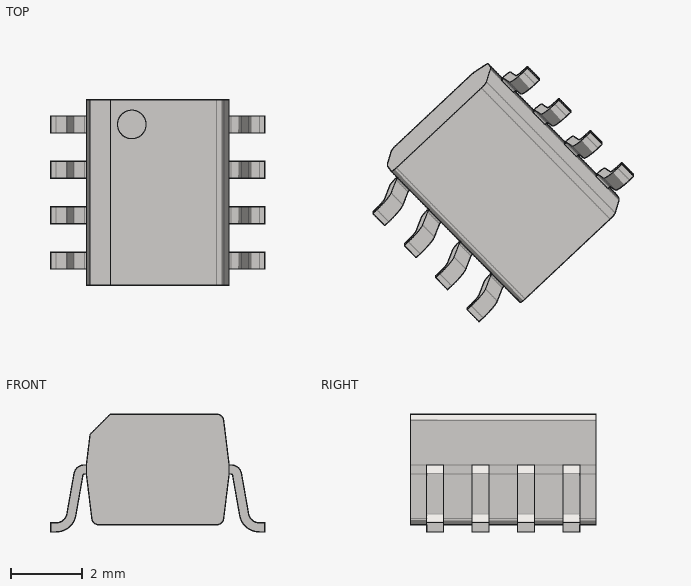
import cadquery as cq
import math

standoff = 0.2
body_width = 4.0
body_length = 5.2
body_height = 3.1
draft_angle = math.radians(7)
edge_radius = 0.2
chamfer_inset = 0.5

marker_diameter = 0.8
marker_depth = 0.2
marker_margin = 0.2

leads_per_side = 4
lead_pitch = 1.27
lead_width = 0.48
lead_thickness = 0.26
lead_span = 6.0
foot_length = 0.16
bend_radius = 0.3
leg_tilt = math.radians(10)

body_top = standoff + body_height
body_middle = standoff + body_height / 2
belt_bottom = body_middle - lead_thickness / 2
belt_top = body_middle + lead_thickness / 2
belt_x = body_width / 2
face_x = belt_x - (body_top - belt_top) * math.tan(draft_angle)

chamfer_x = -face_x + chamfer_inset
chamfer_drop = chamfer_inset / (1 - math.tan(draft_angle))
row_end_y = lead_pitch * (leads_per_side - 1) / 2


def make_body():
    """Package body: drafted above and below a vertical belt, with one top edge chamfered."""
    body = (
        cq.Workplane("XZ")
        .moveTo(-face_x, standoff)
        .lineTo(face_x, standoff)
        .lineTo(belt_x, belt_bottom)
        .lineTo(belt_x, belt_top)
        .lineTo(face_x, body_top)
        .lineTo(chamfer_x, body_top)
        .lineTo(chamfer_x - chamfer_drop, body_top - chamfer_drop)
        .lineTo(-belt_x, belt_top)
        .lineTo(-belt_x, belt_bottom)
        .close()
        .extrude(body_length / 2, both=True)
    )
    bottom_edges = body.faces("<Z").edges("|Y")
    top_right_edge = body.faces(">Z").edges("|Y").edges(">X")
    body = bottom_edges.add(top_right_edge).fillet(edge_radius)

    marker_x = chamfer_x + marker_margin + marker_diameter / 2
    marker = (
        cq.Workplane("XY", origin=(marker_x, row_end_y, body_top - marker_depth))
        .circle(marker_diameter / 2)
        .extrude(marker_depth)
    )
    return body.cut(marker)


def make_lead():
    """Gull-wing lead on the +X side, centred on Y = 0 and ending flush on the belt."""
    tip_x = lead_span / 2
    small_radius = bend_radius - lead_thickness
    large_radius = bend_radius + lead_thickness

    foot_x = tip_x - foot_length
    foot_z = lead_thickness + bend_radius
    shoulder_z = belt_top - bend_radius
    center_rise = shoulder_z - foot_z
    leg_run = center_rise * math.tan(leg_tilt) + 2 * bend_radius / math.cos(leg_tilt)
    shoulder_x = foot_x - leg_run

    def foot_point(radius, angle):
        return (foot_x - radius * math.cos(angle), foot_z - radius * math.sin(angle))

    def shoulder_point(radius, angle):
        return (shoulder_x + radius * math.cos(angle), shoulder_z + radius * math.sin(angle))

    bend_start = math.pi / 2
    bend_end = leg_tilt
    bend_mid = (bend_start + bend_end) / 2

    return (
        cq.Workplane("XZ")
        .moveTo(belt_x, belt_top)
        .lineTo(*shoulder_point(bend_radius, bend_start))
        .threePointArc(shoulder_point(bend_radius, bend_mid), shoulder_point(bend_radius, bend_end))
        .lineTo(*foot_point(bend_radius, bend_end))
        .threePointArc(foot_point(bend_radius, bend_mid), foot_point(bend_radius, bend_start))
        .lineTo(tip_x, lead_thickness)
        .lineTo(tip_x, 0)
        .lineTo(*foot_point(large_radius, bend_start))
        .threePointArc(foot_point(large_radius, bend_mid), foot_point(large_radius, bend_end))
        .lineTo(*shoulder_point(small_radius, bend_end))
        .threePointArc(shoulder_point(small_radius, bend_mid), shoulder_point(small_radius, bend_start))
        .lineTo(belt_x, belt_bottom)
        .close()
        .extrude(lead_width / 2, both=True)
    )


body = make_body()

right_lead = make_lead()
left_lead = right_lead.mirror("YZ")
leads = []
for index in range(leads_per_side):
    lead_y = row_end_y - index * lead_pitch
    for lead in (left_lead, right_lead):
        leads.append(lead.translate((0, lead_y, 0)).solids().val())

result = cq.Compound.makeCompound([body.solids().val(), *leads])